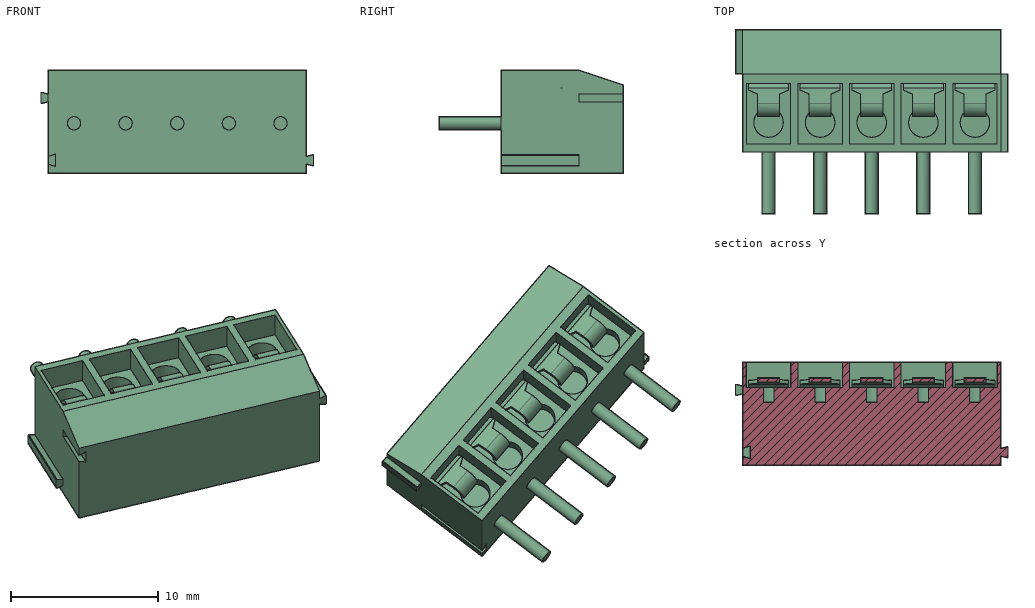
import cadquery as cq
import math


POLES = 5
PITCH = 3.5
BODY_LENGTH = POLES * PITCH
BODY_DEPTH = 8.3
BODY_HEIGHT = 7.0
SLOPE_DEPTH = 3.0
SLOPE_DROP = 1.0
SLOPE_START = BODY_DEPTH - SLOPE_DEPTH

PIN_DIAMETER = 0.9
PIN_LENGTH = 4.2
PIN_HEIGHT = 3.4
PIN_ROOT = 0.5

RAIL_DEPTH = 0.5
NECK_HEIGHT = 0.53
RAIL_HEAD = 0.8
SLOT_HEAD = 0.85
RAIL_CHAMFER = 0.06
LOWER_RAIL_Z = 0.89
UPPER_RAIL_Z = 5.12

POCKET_WIDTH = 3.0
POCKET_FRONT = 0.55
POCKET_BACK = 4.65
POCKET_DEPTH = 1.7
POCKET_FLOOR = BODY_HEIGHT - POCKET_DEPTH
HOLE_DIAMETER = 2.0
HOLE_Y = 2.0
HOLE_DEPTH = 1.0

SPRING_THICKNESS = 0.25
SPRING_WIDTH = 1.5
EAR_WIDTH = 2.7
EAR_FRONT = 4.2
TAPER_FRONT = 3.93
CURL_FRONT = 2.4
CURL_RADIUS = 0.75
CURL_CENTRE_Z = 5.2
STRIP_TILT = math.radians(10)
TAIL_TILT = math.radians(37)
TAIL_START = 4.33
SPRING_ROOT = 0.2

LEFT_FACE = -BODY_LENGTH / 2
RIGHT_FACE = BODY_LENGTH / 2
pole_centres = [(i - (POLES - 1) / 2) * PITCH for i in range(POLES)]


def make_housing():
    """Block with a sloped rear top edge."""
    profile = [
        (0, 0),
        (BODY_DEPTH, 0),
        (BODY_DEPTH, BODY_HEIGHT - SLOPE_DROP),
        (SLOPE_START, BODY_HEIGHT),
        (0, BODY_HEIGHT),
    ]
    return cq.Workplane("YZ").polyline(profile).close().extrude(BODY_LENGTH / 2, both=True)


def make_dovetail(face_x, centre_z, head, front, back):
    """Dovetail bar widening towards -X from the plane X = face_x."""
    profile = [
        (face_x, centre_z - NECK_HEIGHT / 2),
        (face_x, centre_z + NECK_HEIGHT / 2),
        (face_x - RAIL_DEPTH, centre_z + head / 2),
        (face_x - RAIL_DEPTH, centre_z - head / 2),
    ]
    bar = cq.Workplane("XZ", origin=(0, front, 0)).polyline(profile).close()
    return bar.extrude(front - back)


def make_rail(centre_z, front, back):
    """Dovetail rail on the -X end of the housing."""
    rail = make_dovetail(LEFT_FACE, centre_z, RAIL_HEAD, front, back)
    return rail.faces("<X").edges("|Y").chamfer(RAIL_CHAMFER)


def make_slot(centre_z, front, back):
    """Dovetail cutter for the +X end of the housing."""
    return make_dovetail(RIGHT_FACE, centre_z, SLOT_HEAD, front, back)


def mirror_x(shape):
    """Same shape on the opposite end of the housing."""
    return shape.mirror("YZ")


def make_pin(x):
    pin = cq.Workplane("XZ", origin=(x, PIN_ROOT, PIN_HEIGHT)).circle(PIN_DIAMETER / 2)
    return pin.extrude(PIN_ROOT + PIN_LENGTH)


def make_pocket(x):
    """Rectangular pocket with a round blind hole in its floor."""
    pocket = (
        cq.Workplane("XY", origin=(x, (POCKET_FRONT + POCKET_BACK) / 2, POCKET_FLOOR))
        .rect(POCKET_WIDTH, POCKET_BACK - POCKET_FRONT)
        .extrude(POCKET_DEPTH)
    )
    hole = cq.Workplane("XY", origin=(x, HOLE_Y, POCKET_FLOOR)).circle(HOLE_DIAMETER / 2)
    return pocket.union(hole.extrude(-HOLE_DEPTH))


def make_spring(x):
    """Bent sheet trimmed to a T-shaped outline."""
    curl_y = CURL_FRONT + CURL_RADIUS
    inner_radius = CURL_RADIUS - SPRING_THICKNESS
    tail_end = POCKET_BACK + SPRING_ROOT

    def on_curl(radius, angle):
        """Point on the curl, angle measured from +Z towards +Y."""
        return (curl_y + radius * math.sin(angle), CURL_CENTRE_Z + radius * math.cos(angle))

    curl_end = -math.pi / 2
    curl_middle = (STRIP_TILT + curl_end) / 2
    top_y, top_z = on_curl(CURL_RADIUS, STRIP_TILT)
    bend_z = top_z - (TAIL_START - top_y) * math.tan(STRIP_TILT)
    tail_z = bend_z - (tail_end - TAIL_START) * math.tan(TAIL_TILT)

    sheet = (
        cq.Workplane("YZ", origin=(x, 0, 0))
        .moveTo(*on_curl(CURL_RADIUS, curl_end))
        .threePointArc(on_curl(CURL_RADIUS, curl_middle), (top_y, top_z))
        .lineTo(TAIL_START, bend_z)
        .lineTo(tail_end, tail_z)
        .lineTo(tail_end, tail_z - SPRING_THICKNESS)
        .lineTo(TAIL_START, bend_z - SPRING_THICKNESS)
        .lineTo(*on_curl(inner_radius, STRIP_TILT))
        .threePointArc(on_curl(inner_radius, curl_middle), on_curl(inner_radius, curl_end))
        .close()
        .extrude(EAR_WIDTH / 2, both=True)
    )

    half_outline = [
        (SPRING_WIDTH / 2, CURL_FRONT),
        (SPRING_WIDTH / 2, TAPER_FRONT),
        (EAR_WIDTH / 2, EAR_FRONT),
        (EAR_WIDTH / 2, tail_end),
    ]
    other_half = [(-px, py) for px, py in reversed(half_outline)]
    outline = cq.Workplane("XY", origin=(x, 0, 0)).polyline(half_outline + other_half).close()
    return sheet.intersect(outline.extrude(BODY_HEIGHT))


upper_rail = make_rail(UPPER_RAIL_Z, SLOPE_START, BODY_DEPTH)
upper_slot = make_slot(UPPER_RAIL_Z, SLOPE_START, BODY_DEPTH)
lower_rail = mirror_x(make_rail(LOWER_RAIL_Z, 0, SLOPE_START))
lower_slot = mirror_x(make_slot(LOWER_RAIL_Z, 0, SLOPE_START))
result = make_housing().union(upper_rail).union(lower_rail).cut(lower_slot).cut(upper_slot)
for pole_x in pole_centres:
    result = result.cut(make_pocket(pole_x))
    result = result.union(make_spring(pole_x))
    result = result.union(make_pin(pole_x))